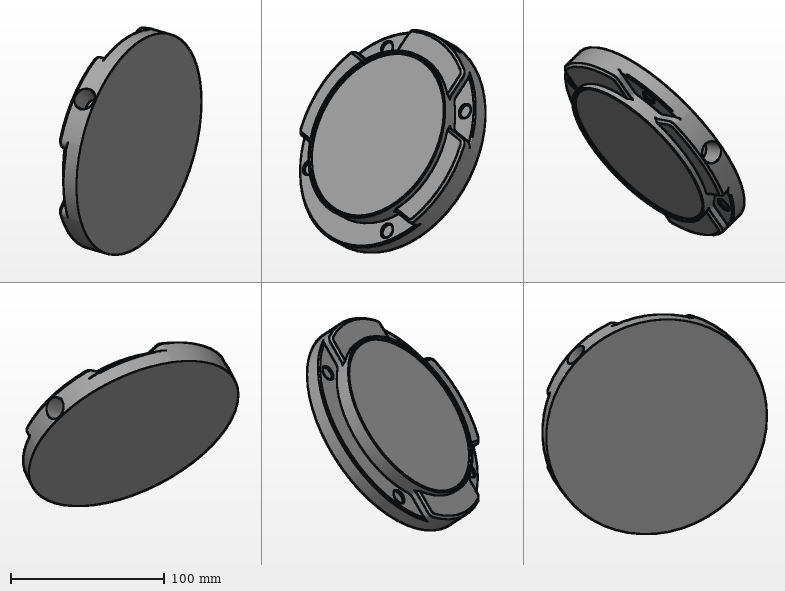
import cadquery as cq

outer_radius = 74.5
total_depth = 21.3
flange_front = 10.3
flange_chamfer = 1.0

boss_radius = 58.0
hub_inset = 0.1
hub_radius = boss_radius - hub_inset
dish_radius = 56.9
dish_depth = 1.0

lug_front = 4.0
lug_chamfer = 1.8
lug_half_width = 32.5
lug_fillet = 5.0
lug_angles = (45, 135, 225)

pin_radius = 4.5
pin_chamfer = 0.6
pin_circle_radius = 66.0
pin_depth = 1.0
pin_count = 4

port_radius = 6.9
port_mouth_radius = 7.3
port_mouth_depth = 1.8
port_x = 13.4
port_depth = 17.9
port_angle = 135


def disc(front, back, radius):
    """Cylinder along X between two depths."""
    return cq.Workplane("YZ", origin=(front, 0, 0)).circle(radius).extrude(back - front)


def turned(solid, angle):
    """Turn a solid about the disc axis."""
    return solid.rotate((0, 0, 0), (1, 0, 0), angle)


def blind_hole(origin, direction, radius, depth, mouth_radius, mouth_depth):
    """Round hole cutter that starts at origin and widens to a conical mouth there."""
    start = cq.Vector(*origin)
    axis = cq.Vector(*direction)
    bore = cq.Solid.makeCylinder(radius, depth, start, axis)
    mouth = cq.Solid.makeCone(mouth_radius, radius, mouth_depth, start, axis)
    return cq.Workplane(obj=bore.fuse(mouth))


def lug_layer():
    """Hub with lugs: flanks rounded into hub and rim, with one chamfer along the front outline."""
    layer = disc(lug_front, total_depth, hub_radius)
    rim = disc(lug_front, total_depth, outer_radius)
    bar = cq.Workplane("XY").box(
        total_depth - lug_front, outer_radius, 2 * lug_half_width, centered=(False, False, True)
    ).translate((lug_front, 0, 0))
    lug = bar.intersect(rim)
    for angle in lug_angles:
        layer = layer.union(turned(lug, angle))
    layer = layer.edges("|X").fillet(lug_fillet)
    return layer.faces("<X").edges().chamfer(lug_chamfer)


flange = disc(flange_front, total_depth, outer_radius).faces("<X").edges().chamfer(flange_chamfer)
boss = disc(0, total_depth, boss_radius)
result = lug_layer().union(flange).union(boss)

dish = cq.Workplane(obj=cq.Solid.makeCone(
    dish_radius, dish_radius - dish_depth, dish_depth, cq.Vector(0, 0, 0), cq.Vector(1, 0, 0)
))
result = result.cut(dish)

pin = blind_hole(
    (flange_front, pin_circle_radius, 0), (1, 0, 0),
    pin_radius, pin_depth, pin_radius + pin_chamfer, pin_chamfer,
)
for index in range(pin_count):
    result = result.cut(turned(pin, index * 360 / pin_count))

port = blind_hole(
    (port_x, outer_radius, 0), (0, -1, 0),
    port_radius, port_depth, port_mouth_radius, port_mouth_depth,
)
result = result.cut(turned(port, port_angle))